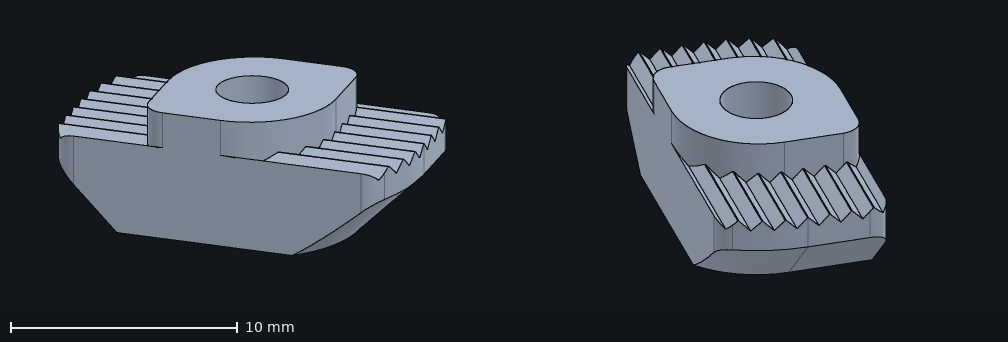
import cadquery as cq
import math

length = 16.0
width = 7.7
height = 6.0
half_length = length / 2
half_width = width / 2
corner_radius = 1.0
boss_round_radius = 4.0
hole_diameter = 3.2

wing_top = 4.5
bevel_height = 3.0
bottom_half_length = half_length - bevel_height

tooth_pitch = 1.0
crest_flat = 0.05
tooth_depth = (tooth_pitch - crest_flat) / 2
valley_level = wing_top - tooth_depth


def wing_outline():
    """Plan solid with two square corners and two ends rounded about the hole axis."""
    arc_end_x = math.sqrt(half_length**2 - half_width**2)
    middle_angle = math.asin(half_width / half_length) / 2
    arc_mid_x = half_length * math.cos(middle_angle)
    arc_mid_y = half_length * math.sin(middle_angle)
    return (
        cq.Workplane("XY")
        .moveTo(-half_length, -half_width)
        .lineTo(arc_end_x, -half_width)
        .threePointArc((arc_mid_x, -arc_mid_y), (half_length, 0))
        .lineTo(half_length, half_width)
        .lineTo(-arc_end_x, half_width)
        .threePointArc((-arc_mid_x, arc_mid_y), (-half_length, 0))
        .close()
        .extrude(wing_top)
        .edges("|Z and (>Y or <Y)")
        .fillet(corner_radius)
    )


def flank_envelope():
    """Conical flanks below the rounded ends, flat flanks below the straight ends."""
    flank_profile = [
        (0, 0),
        (bottom_half_length, 0),
        (half_length, bevel_height),
        (half_length, wing_top),
        (0, wing_top),
    ]
    cone = (
        cq.Workplane("XZ")
        .polyline(flank_profile)
        .close()
        .revolve(360, (0, 0, 0), (0, 1, 0))
    )
    flat_flank = (
        cq.Workplane("XZ")
        .polyline(flank_profile)
        .close()
        .extrude(-half_width)
    )
    opposite_flank = flat_flank.rotate((0, 0, 0), (0, 0, 1), 180)
    return cone.union(flat_flank).union(opposite_flank)


def serration_grooves():
    """V grooves along X, spaced so that a crest lies on the centre line."""
    pairs = math.ceil(half_width / tooth_pitch)
    grooves = cq.Workplane("YZ").workplane(offset=-half_length)
    for index in range(-pairs, pairs):
        center_y = (index + 0.5) * tooth_pitch
        grooves = grooves.polyline([
            (center_y - tooth_depth, wing_top),
            (center_y, valley_level),
            (center_y + tooth_depth, wing_top),
        ]).close()
    return grooves.extrude(length)


def boss():
    """Square boss with two large and two small opposite corner rounds."""
    boss_base = valley_level - tooth_depth
    reach = half_width - boss_round_radius
    diagonal = reach + boss_round_radius * math.sqrt(0.5)
    return (
        cq.Workplane("XY")
        .workplane(offset=boss_base)
        .moveTo(-half_width, -half_width)
        .lineTo(reach, -half_width)
        .threePointArc((diagonal, -diagonal), (half_width, -reach))
        .lineTo(half_width, half_width)
        .lineTo(-reach, half_width)
        .threePointArc((-diagonal, diagonal), (-half_width, reach))
        .close()
        .extrude(height - boss_base)
        .edges("|Z and (<(1,1,0) or >(1,1,0))")
        .fillet(corner_radius)
    )


body = wing_outline().intersect(flank_envelope()).cut(serration_grooves()).union(boss())
result = body.faces(">Z").workplane(origin=(0, 0, height)).hole(hole_diameter)